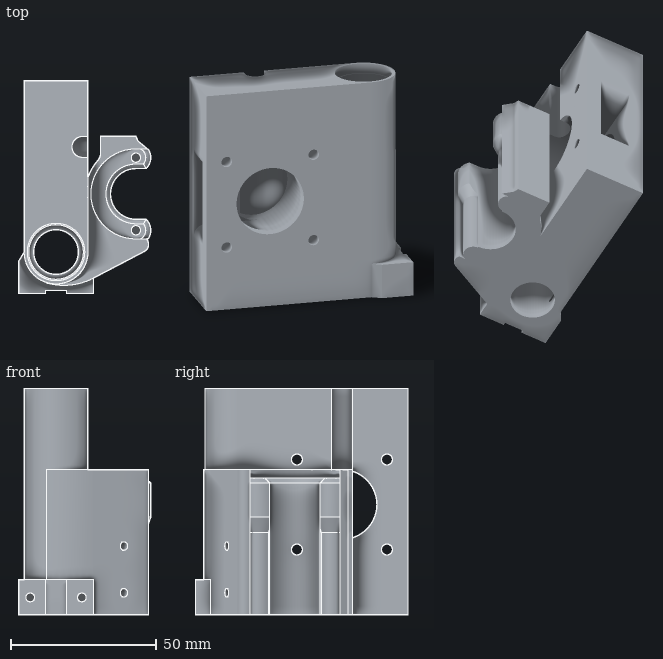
import math

import cadquery as cq


body_width = 22.0
body_round = body_width / 2
body_end_y = 59.0
body_height = 78.0

rod_bore_d = 15.3
seat_upper_d = 19.8
seat_upper_depth = 3.4
seat_lower_d = 18.8
seat_lower_depth = 7.0

foot_half_width = 12.9
foot_front_y = -14.3
foot_height = 12.1
foot_chamfer_length = 3.15
foot_groove_width = 7.1
foot_groove_depth = 1.0
foot_screw_d = 3.0
foot_screw_spacing = 17.8
foot_screw_z = 6.0
foot_screw_depth = 20.0

motor_y = 36.2
motor_z = 38.0
motor_opening_d = 24.0
motor_screw_pitch = 31.0
motor_screw_d = 3.7
cavity_wall = 5.2
cavity_width = 11.2
cavity_mouth_round = 3.9

notch_width = 7.2
notch_depth = 5.5

arm_height = 50.0
arm_back_round = 17.5
arm_back_x = 15.3
arm_end_y = 39.9
arm_back_fillet = 3.9
arm_front_round = 22.0
arm_front_center = (2.7, 10.5)
arm_front_start_x = -3.3
arm_front_angle = math.radians(27.6)
arm_nose_start_x = 30.4
arm_nose_tip = (31.9, 2.4)
arm_nose_end_x = 31.2
arm_shoulder_start_x = 27.5
arm_shoulder_kink = (28.3, 38.2)
arm_shoulder_end_x = 31.5
arm_screw_d = 2.9
arm_screw_x = 23.4
arm_screw_heights = (7.6, 23.7)
arm_screw_depth = 10.0

clip_x = 27.5
clip_y = 20.0
clip_outer_r = 15.5
clip_inner_r = 8.7
clip_lead_in = 1.6
clip_lead_in_height = 1.7
clip_top_z = 47.1
clip_screw_d = 3.2
clip_screw_depth = 10.0
clip_screw_r = 12.5
tip_r = 5.17
tip_neck_r = 3.4
tip_taper_bottom_z = 28.4
tip_taper_top_z = 33.7


def polar(center, radius, angle):
    return (center[0] + radius * math.cos(angle), center[1] + radius * math.sin(angle))


def make_body():
    return (
        cq.Workplane("XY")
        .moveTo(-body_round, 0)
        .threePointArc((0, -body_round), (body_round, 0))
        .lineTo(body_round, body_end_y)
        .lineTo(-body_round, body_end_y)
        .close()
        .extrude(body_height)
    )


def make_foot():
    half_groove = foot_groove_width / 2
    groove_y = foot_front_y + foot_groove_depth
    return (
        cq.Workplane("XY")
        .polyline([
            (-body_round, 0),
            (-foot_half_width, -foot_chamfer_length),
            (-foot_half_width, foot_front_y),
            (-half_groove, foot_front_y),
            (-half_groove, groove_y),
            (half_groove, groove_y),
            (half_groove, foot_front_y),
            (foot_half_width, foot_front_y),
            (foot_half_width, -foot_chamfer_length),
            (body_round, 0),
        ])
        .close()
        .extrude(foot_height)
    )


def arm_front_end():
    """Point where the rounded front of the arm runs into its slanted face."""
    return polar(arm_front_center, arm_front_round, arm_front_angle - math.pi / 2)


def slanted_face_point(x):
    start_x, start_y = arm_front_end()
    return (x, start_y + (x - start_x) * math.tan(arm_front_angle))


def make_arm():
    front_start_offset = arm_front_start_x - arm_front_center[0]
    front_start_y = arm_front_center[1] - math.sqrt(arm_front_round**2 - front_start_offset**2)
    front_bottom = (arm_front_center[0], arm_front_center[1] - arm_front_round)

    fillet_x = arm_back_x - arm_back_fillet
    span = arm_back_round + arm_back_fillet
    fillet_y = clip_y + math.sqrt(span**2 - (clip_x - fillet_x) ** 2)
    fillet_center = (fillet_x, fillet_y)
    fillet_angle = math.atan2(clip_y - fillet_y, clip_x - fillet_x)
    back_start_angle = fillet_angle + math.pi
    back_end_angle = math.pi - math.acos((clip_x - body_round) / arm_back_round)
    clip_center = (clip_x, clip_y)

    return (
        cq.Workplane("XY")
        .moveTo(arm_front_start_x, front_start_y)
        .threePointArc(front_bottom, arm_front_end())
        .lineTo(*slanted_face_point(arm_nose_start_x))
        .threePointArc(arm_nose_tip, (arm_nose_end_x, clip_y - clip_outer_r))
        .lineTo(arm_shoulder_end_x, clip_y + clip_outer_r)
        .lineTo(*arm_shoulder_kink)
        .lineTo(arm_shoulder_start_x, arm_end_y)
        .lineTo(arm_back_x, arm_end_y)
        .lineTo(arm_back_x, fillet_y)
        .threePointArc(
            polar(fillet_center, arm_back_fillet, fillet_angle / 2),
            polar(fillet_center, arm_back_fillet, fillet_angle),
        )
        .threePointArc(
            polar(clip_center, arm_back_round, (back_start_angle + back_end_angle) / 2),
            polar(clip_center, arm_back_round, back_end_angle),
        )
        .lineTo(0, clip_y)
        .lineTo(0, 0)
        .close()
        .extrude(arm_height)
    )


def u_channel(radius, bottom_z, top_z):
    """Round channel about the clip axis, running straight out towards +X."""
    length = 2 * clip_outer_r
    height = top_z - bottom_z
    base = cq.Workplane("XY").workplane(offset=bottom_z).center(clip_x, clip_y)
    straight = base.center(length / 2, 0).rect(length, 2 * radius).extrude(height)
    return base.circle(radius).extrude(height).union(straight)


def lead_in_channel():
    """Tapered entry that widens the clip channel towards its top face."""
    length = 2 * clip_outer_r
    wide_r = clip_inner_r + clip_lead_in
    bottom_z = clip_top_z - clip_lead_in_height
    profile = [(0, bottom_z), (clip_inner_r, bottom_z), (wide_r, clip_top_z), (0, clip_top_z)]
    cone = (
        cq.Workplane("XZ")
        .polyline(profile)
        .close()
        .revolve(360, (0, 0, 0), (0, 1, 0))
        .translate((clip_x, clip_y, 0))
    )
    straight = (
        cq.Workplane("YZ")
        .polyline([
            (-clip_inner_r, bottom_z),
            (clip_inner_r, bottom_z),
            (wide_r, clip_top_z),
            (-wide_r, clip_top_z),
        ])
        .close()
        .extrude(length)
        .translate((clip_x, clip_y, 0))
    )
    return cone.union(straight)


def make_tip(side):
    """Rounded, tapered end of one clip jaw; side is +1 or -1 along Y."""
    tip_y = clip_y + side * clip_screw_r
    turned = (
        cq.Workplane("XZ")
        .polyline([
            (0, 0),
            (tip_neck_r, 0),
            (tip_neck_r, tip_taper_bottom_z),
            (tip_r, tip_taper_top_z),
            (tip_r, clip_top_z - clip_lead_in_height),
            (tip_neck_r, clip_top_z),
            (0, clip_top_z),
        ])
        .close()
        .revolve(360, (0, 0, 0), (0, 1, 0))
        .translate((clip_x, tip_y, 0))
    )
    jaw_width = clip_outer_r - clip_inner_r
    jaw_y = clip_y + side * (clip_outer_r + clip_inner_r) / 2
    jaw = (
        cq.Workplane("XY")
        .center(clip_x + tip_r / 2, jaw_y)
        .rect(tip_r, jaw_width)
        .extrude(clip_top_z)
    )
    return turned.intersect(jaw)


def make_clip_arm():
    arm = make_arm()
    arm = arm.cut(
        cq.Workplane("XY")
        .center(clip_x + clip_outer_r, clip_y)
        .rect(2 * clip_outer_r, 2 * clip_outer_r)
        .extrude(arm_height)
    )
    for side in (1, -1):
        arm = arm.union(make_tip(side))
    arm = arm.cut(u_channel(clip_outer_r, clip_top_z, arm_height))
    arm = arm.cut(u_channel(clip_inner_r, 0, arm_height))
    arm = arm.cut(lead_in_channel())
    for side in (1, -1):
        screw = (
            cq.Workplane("XY")
            .workplane(offset=clip_top_z)
            .center(clip_x, clip_y + side * clip_screw_r)
            .circle(clip_screw_d / 2)
            .extrude(-clip_screw_depth)
        )
        arm = arm.cut(screw)
    return arm


def x_hole(diameter, y, z, start_x, length):
    return (
        cq.Workplane("YZ")
        .workplane(offset=start_x)
        .center(y, z)
        .circle(diameter / 2)
        .extrude(length)
    )


def cut_rod_bore(part):
    top = cq.Workplane("XY").workplane(offset=body_height)
    part = part.cut(top.circle(rod_bore_d / 2).extrude(-body_height))
    part = part.cut(top.circle(seat_lower_d / 2).extrude(-seat_lower_depth))
    return part.cut(top.circle(seat_upper_d / 2).extrude(-seat_upper_depth))


def make_pulley_cavity():
    """Cavity behind the motor wall with a flared mouth in the +Y end face."""
    half_height = motor_opening_d / 2
    mouth_y = body_end_y - cavity_mouth_round
    arc_shift = cavity_mouth_round * math.sqrt(0.5)
    arc_y = mouth_y + arc_shift
    arc_half_height = half_height + cavity_mouth_round - arc_shift
    mouth_half_height = half_height + cavity_mouth_round
    return (
        cq.Workplane("YZ")
        .workplane(offset=-body_round + cavity_wall)
        .center(0, motor_z)
        .moveTo(motor_y, -half_height)
        .lineTo(mouth_y, -half_height)
        .threePointArc((arc_y, -arc_half_height), (body_end_y, -mouth_half_height))
        .lineTo(body_end_y, mouth_half_height)
        .threePointArc((arc_y, arc_half_height), (mouth_y, half_height))
        .lineTo(motor_y, half_height)
        .close()
        .extrude(cavity_width)
    )


def make_notch():
    round_r = notch_width / 2
    round_x = body_round - notch_depth + round_r
    height = body_height - motor_z
    base = cq.Workplane("XY").workplane(offset=motor_z)
    slot_length = body_round - round_x
    slot = base.center(round_x + slot_length / 2, motor_y).rect(slot_length, notch_width).extrude(height)
    return base.center(round_x, motor_y).circle(round_r).extrude(height).union(slot)


def cut_motor_screws(part):
    half_pitch = motor_screw_pitch / 2
    length = clip_x + body_round
    for side_y in (-1, 1):
        for side_z in (-1, 1):
            y = motor_y + side_y * half_pitch
            z = motor_z + side_z * half_pitch
            part = part.cut(x_hole(motor_screw_d, y, z, -body_round, length))
    return part


def cut_foot_screws(part):
    for side in (-1, 1):
        screw = cq.Solid.makeCylinder(
            foot_screw_d / 2,
            foot_screw_depth,
            cq.Vector(side * foot_screw_spacing / 2, foot_front_y, foot_screw_z),
            cq.Vector(0, 1, 0),
        )
        part = part.cut(cq.Workplane(screw))
    return part


def cut_arm_screws(part):
    """Holes square to the slanted front face of the arm."""
    inward = cq.Vector(-math.sin(arm_front_angle), math.cos(arm_front_angle), 0)
    for height in arm_screw_heights:
        entry = cq.Vector(*slanted_face_point(arm_screw_x), height)
        screw = cq.Solid.makeCylinder(arm_screw_d / 2, arm_screw_depth, entry, inward)
        part = part.cut(cq.Workplane(screw))
    return part


part = make_body().union(make_foot()).union(make_clip_arm())
part = part.cut(x_hole(motor_opening_d, motor_y, motor_z, -body_round, body_width))
part = part.cut(make_pulley_cavity())
part = part.cut(make_notch())
part = cut_rod_bore(part)
part = cut_motor_screws(part)
part = cut_foot_screws(part)
result = cut_arm_screws(part)